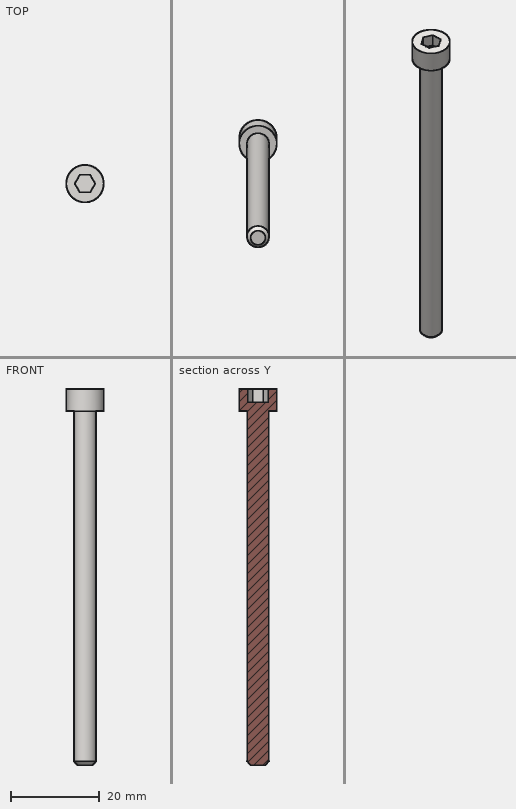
import cadquery as cq
import math

total_length = 85.0
head_diameter = 8.5
shank_diameter = 5.0
head_height = shank_diameter
shank_length = total_length - head_height

tip_chamfer_height = 0.9
tip_chamfer_width = 0.85

socket_across_flats = 4.0
socket_depth = 3.0
socket_across_corners = socket_across_flats / math.cos(math.radians(30))


def make_shank():
    """Plain shank below the head seat at Z = 0, tapered at its lower end."""
    radius = shank_diameter / 2
    return (
        cq.Workplane("XZ")
        .moveTo(0, 0)
        .lineTo(radius, 0)
        .lineTo(radius, tip_chamfer_height - shank_length)
        .lineTo(radius - tip_chamfer_width, -shank_length)
        .lineTo(0, -shank_length)
        .close()
        .revolve(360, (0, 0, 0), (0, 1, 0))
    )


def make_head():
    """Cylindrical head with a blind hexagonal socket in its top face."""
    head = cq.Workplane("XY").circle(head_diameter / 2).extrude(head_height)
    socket = (
        cq.Workplane("XY")
        .workplane(offset=head_height - socket_depth)
        .polygon(6, socket_across_corners)
        .extrude(socket_depth)
    )
    return head.cut(socket)


result = make_head().union(make_shank())